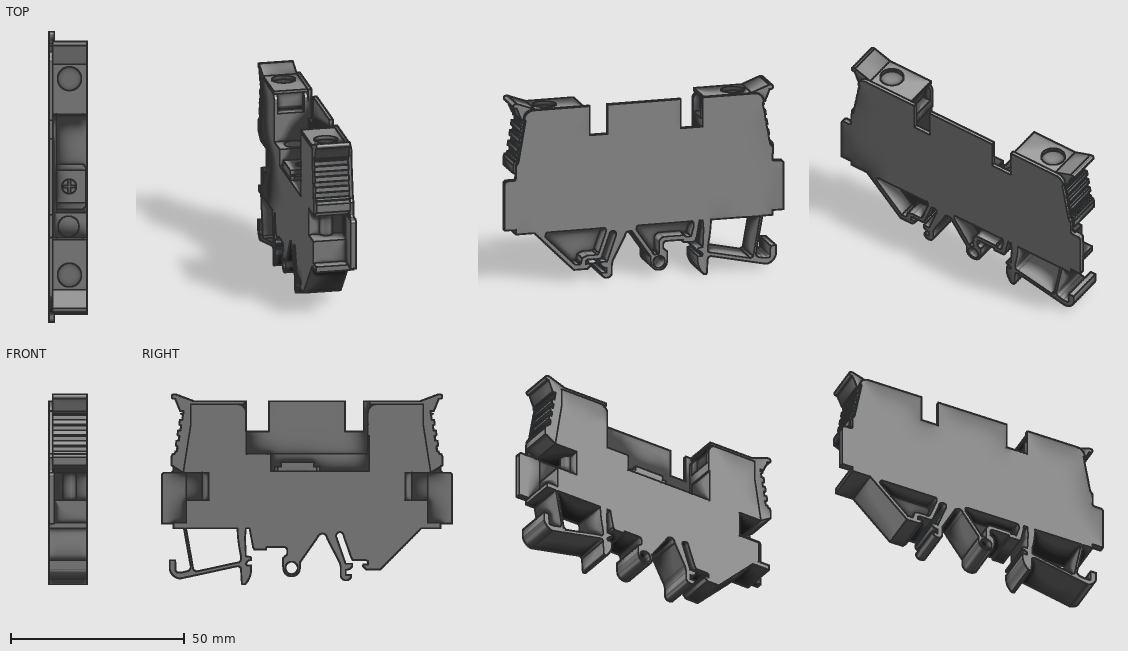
import cadquery as cq


LENGTH = 83.5
WIDTH = 11.0
TOP = 35.15
FLOOR_BOTTOM = -1.4

PLATE_T = 1.1
WING_T = 1.6
WING_TOP = 14.6
WING_ROUND = 0.8
WING_INNER_ROUND = 0.8
SHOULDER_Y = 38.4
NOTCH_BOTTOM = 26.5
NOTCHES = [(-17.5, -10.9), (10.9, 16.3)]

FLOOR_TOP = 0.2
ENTRY_Y = 34.7
ENTRY_SILL = 6.7
TERMINAL_Y = 28.2
TERMINAL_X = 5.9
LEG_INNER_BOTTOM = (35.6, WING_TOP)
LEG_INNER_TOP = (33.4, 28.5)
SHELF_Z = LEG_INNER_TOP[1]
TOWER_INNER_Y = 17.5
POST_T = 1.1
POST_TOP = 34.3
POST_ROUND = 2.5

LEDGE_Z = 20.0
PIT_FLOOR = 15.0
PIT_X = 2.1
PIT_START_Y = -10.35
PIT_STEP_Z = 25.2
PIT_STEP = 0.3

LEVER_INNER_Y = 18.0
LEVER_BAR_Y = 19.5
LEVER_BAR_ROUND = 1.5
LEVER_BEND_Y = 32.4
RIB_COUNT = 3
RIB_PITCH = 3.0
RIB_FIRST_TOP = 29.8
RIB_HEIGHT = 1.3
RIB_UNDERCUT = 0.4
RIB_DEPTH = 0.75
LEVER_FACE_SLOPE = 0.165
LEVER_FACE_Y = 35.4
LEVER_FACE_TOP = 32.3

HEAD_R = 3.4
HEAD_RECESS = 1.2
SHANK_R = 1.9

PIN_X = 5.7
PIN_Y = -14.3
PIN_R = 3.0
PIN_LENGTH = 8.35

CLAMP_X = (PIT_X, 10.6)
CLAMP_BASE_Y = (-9.3, 3.7)
CLAMP_TOP_Y = (-7.4, 1.9)
CLAMP_BASE_T = 1.25
CLAMP_T = 2.6
CLAMP_CHAMFER = 0.8
CLAMP_SCREW_X = 5.85
CLAMP_SCREW_Y = -2.75
CLAMP_SCREW_R = 2.1
CLAMP_SCREW_DEPTH = 5.0
CROSS_WIDTH = 0.8
CROSS_LENGTH = 3.25
CROSS_DEPTH = 0.7

POCKET_DEPTH = 5.1
RING_Y = -4.4
RING_Z = -12.8
RING_R = 2.4
RING_HOLE_R = 1.75


def box(x, y, z):
    """Box from its (low, high) limits along each axis."""
    size = (x[1] - x[0], y[1] - y[0], z[1] - z[0])
    return cq.Workplane().box(*size, centered=False).translate((x[0], y[0], z[0]))


def cylinder(x, y, radius, bottom, top):
    return cq.Workplane(origin=(x, y, bottom)).circle(radius).extrude(top - bottom)


def outline(x_start, x_end, start, steps):
    """Extrude a closed (y, z) outline along X; a step is a point, or the middle and end of an arc."""
    path = cq.Workplane("YZ", origin=(x_start, 0, 0)).moveTo(*start)
    for step in steps:
        if isinstance(step[0], tuple):
            path = path.threePointArc(*step)
        else:
            path = path.lineTo(*step)
    return path.close().extrude(x_end - x_start)


def both_ends(shape):
    return shape.union(shape.mirror("XZ"))


def side_plate():
    half = outline(
        0,
        PLATE_T,
        (0, TOP),
        [
            (33.4, TOP),
            ((35.1, 34.4), (35.9, 32.5)),
            (35.5, 32.3),
            (37.7, 20.0),
            (SHOULDER_Y, 18.95),
            (SHOULDER_Y, FLOOR_BOTTOM),
            (0, FLOOR_BOTTOM),
        ],
    )
    plate = both_ends(half)
    for notch in NOTCHES:
        plate = plate.cut(box((0, PLATE_T), notch, (NOTCH_BOTTOM, TOP)))
    return plate


def wing():
    wing_y = (ENTRY_Y, LENGTH / 2)
    panel = box((0, WING_T), wing_y, (0, WING_TOP)).edges("|X and >Y and >Z").fillet(WING_ROUND)
    corner = box(
        (0, PLATE_T),
        (SHOULDER_Y, SHOULDER_Y + WING_INNER_ROUND),
        (WING_TOP, WING_TOP + WING_INNER_ROUND),
    )
    hollow = (
        cq.Workplane("YZ")
        .center(SHOULDER_Y + WING_INNER_ROUND, WING_TOP + WING_INNER_ROUND)
        .circle(WING_INNER_ROUND)
        .extrude(PLATE_T)
    )
    return panel.union(corner.cut(hollow))


def tower():
    """One end of the housing: wire entry below, seat for the lever on top."""
    body = outline(
        PLATE_T,
        WIDTH,
        (TERMINAL_Y, FLOOR_BOTTOM),
        [
            (SHOULDER_Y, FLOOR_BOTTOM),
            (SHOULDER_Y, FLOOR_TOP),
            (ENTRY_Y, FLOOR_TOP),
            (ENTRY_Y, ENTRY_SILL),
            (TERMINAL_Y, ENTRY_SILL),
            (TERMINAL_Y, WING_TOP),
            LEG_INNER_BOTTOM,
            LEG_INNER_TOP,
            (LEG_INNER_TOP[0], POST_TOP),
            (TOWER_INNER_Y, POST_TOP),
            (TOWER_INNER_Y, FLOOR_BOTTOM),
        ],
    )
    body = body.edges("|X and <Y and >Z").fillet(POST_ROUND)
    channel = box(
        (PLATE_T + POST_T, WIDTH - POST_T),
        (TOWER_INNER_Y, LEG_INNER_TOP[0]),
        (SHELF_Z, POST_TOP),
    )
    shank_hole = cylinder(TERMINAL_X, TERMINAL_Y, SHANK_R, ENTRY_SILL, SHELF_Z)
    return body.cut(channel).cut(shank_hole)


def middle():
    """Block between the towers, with the clamp pit and the test pin hole."""
    block = box((PLATE_T, WIDTH), (-TOWER_INNER_Y, TOWER_INNER_Y), (FLOOR_BOTTOM, LEDGE_Z))
    pin_hole = cylinder(PIN_X, PIN_Y, PIN_R, LEDGE_Z - PIN_LENGTH, LEDGE_Z)
    return block.cut(pin_hole)


def clamp_pit():
    """Pit open towards +X that undercuts the tower wall by a small step."""
    pit = box((PIT_X, WIDTH), (PIT_START_Y, TOWER_INNER_Y), (PIT_FLOOR, LEDGE_Z))
    step = box(
        (PIT_X, WIDTH),
        (TOWER_INNER_Y, TOWER_INNER_Y + PIT_STEP),
        (PIT_FLOOR, PIT_STEP_Z),
    )
    screw_hole = cylinder(
        CLAMP_SCREW_X, CLAMP_SCREW_Y, CLAMP_SCREW_R, PIT_FLOOR - CLAMP_SCREW_DEPTH, PIT_FLOOR
    )
    return pit.union(step).union(screw_hole)


def fixed_foot():
    """Rail foot with a hooked toe, a sprung claw and a ring-ended leg."""
    foot = outline(
        0,
        WIDTH,
        (32.8, FLOOR_BOTTOM),
        [
            (21.05, -13.3),
            (17.0, -13.3),
            (16.0, -12.3),
            (16.2, -11.8),
            (17.5, -11.8),
            (17.5, -10.85),
            (16.8, -10.5),
            (13.1, -10.5),
            (12.7, -9.8),
            (10.5, -3.6),
            ((9.4, -2.5), (8.4, -3.8)),
            (11.1, -11.5),
            (13.0, -11.5),
            (13.0, -12.35),
            ((12.2, -13.1), (11.2, -13.4)),
            (11.2, -14.8),
            (12.8, -14.8),
            ((11.3, -16.4), (9.7, -15.0)),
            (9.7, -12.8),
            ((9.5, -11.7), (9.1, -10.7)),
            (5.8, -4.3),
            ((4.4, -2.9), (3.1, -3.9)),
            (-2.0, -11.2),
            (RING_Y + RING_R, RING_Z),
            ((RING_Y, RING_Z - RING_R), (RING_Y - RING_R, RING_Z)),
            (-6.9, -12.1),
            (-6.9, -9.9),
            (-5.8, -8.9),
            (-5.7, -7.7),
            ((-5.9, -7.1), (-6.6, -6.8)),
            (-11.6, -6.8),
            (-11.8, -7.5),
            (-15.1, -7.5),
            (-15.5, -6.8),
            (-16.5, FLOOR_BOTTOM),
        ],
    )
    ring_hole = cq.Workplane("YZ").center(RING_Y, RING_Z).circle(RING_HOLE_R).extrude(WIDTH)
    return foot.cut(ring_hole).cut(toe_pocket()).cut(leg_pocket())


def toe_pocket():
    return outline(
        0,
        POCKET_DEPTH,
        (28.9, FLOOR_BOTTOM),
        [
            ((29.6, -2.1), (29.4, -3.0)),
            (20.6, -11.8),
            (19.3, -11.8),
            (18.95, -11.35),
            (18.6, -9.9),
            ((17.8, -9.5), (16.8, -9.3)),
            (14.1, -9.3),
            (13.6, -8.8),
            (11.5, -2.75),
            ((11.4, -2.0), (11.85, FLOOR_BOTTOM)),
        ],
    )


def leg_pocket():
    return outline(
        0,
        POCKET_DEPTH,
        (1.8, FLOOR_BOTTOM),
        [
            ((2.3, -2.2), (2.2, -3.0)),
            (-3.0, -10.5),
            (-4.3, -10.5),
            (-4.4, -10.2),
            (-4.4, -7.0),
            ((-4.9, -5.9), (-5.85, -5.4)),
            (-12.1, -5.4),
            (-12.5, -5.9),
            (-14.0, -5.9),
            (-14.7, -3.5),
            ((-14.8, -2.1), (-14.4, FLOOR_BOTTOM)),
        ],
    )


def release_foot():
    """Sprung rail foot with a beak, carrying a release arm with a finger hook and a tie strut."""
    foot = outline(
        0,
        WIDTH,
        (-17.5, FLOOR_BOTTOM),
        [
            (-17.8, -4.2),
            (-17.5, -9.4),
            (-16.6, -9.5),
            ((-16.0, -9.9), (-16.0, -10.5)),
            ((-17.0, -10.85), (-17.5, -11.7)),
            (-17.2, -12.0),
            (-16.0, -12.0),
            (-16.0, -13.6),
            ((-16.6, -15.8), (-17.9, -17.5)),
            (-18.6, -17.5),
            (-18.8, -16.95),
            (-19.0, -12.95),
            ((-19.45, -12.4), (-20.3, -12.35)),
            (-36.5, -15.9),
            ((-38.5, -14.95), (-39.5, -13.1)),
            (-39.5, -10.5),
            (-37.8, -10.5),
            (-37.75, -13.4),
            ((-37.6, -13.9), (-37.1, -14.0)),
            (-35.8, -14.0),
            (-34.5, -13.7),
            ((-33.7, -13.3), (-33.5, -12.2)),
            (-35.4, FLOOR_BOTTOM),
        ],
    )
    window = outline(
        0,
        WIDTH,
        (-20.0, FLOOR_BOTTOM),
        [
            ((-19.7, -5.4), (-19.0, -9.3)),
            (-19.0, -10.3),
            ((-19.2, -10.85), (-19.95, -11.2)),
            (-31.8, -13.8),
            (-32.65, -13.3),
            (-34.7, FLOOR_BOTTOM),
        ],
    )
    return foot.cut(window)


def make_housing():
    towers_and_wings = both_ends(tower().union(wing()))
    body = side_plate().union(towers_and_wings).union(middle()).cut(clamp_pit())
    return body.union(fixed_foot()).union(release_foot())


def lever_face_y(z):
    """Sloping outer face of the lever between its grip ribs."""
    return LEVER_FACE_Y + LEVER_FACE_SLOPE * (LEVER_FACE_TOP - z)


def grip_ribs():
    """Outline points of the grip ribs, from the top one down."""
    points = []
    for i in range(RIB_COUNT):
        top = RIB_FIRST_TOP - i * RIB_PITCH
        bottom = top - RIB_HEIGHT
        root = bottom - RIB_UNDERCUT
        points += [
            (lever_face_y(top), top),
            (lever_face_y(top) + RIB_DEPTH, top),
            (lever_face_y(bottom) + RIB_DEPTH, bottom),
            (lever_face_y(root), root),
        ]
    return points


def make_lever():
    """Lever on the +Y tower: a bar in the channel, a top plate, a finger tip and a ribbed leg."""
    shell = outline(
        PLATE_T,
        WIDTH,
        (LEVER_INNER_Y, TOP),
        [
            (LEVER_BEND_Y, TOP),
            (37.75, 37.15),
            (38.25, 37.15),
            ((38.9, 36.5), (38.25, 35.8)),
            (37.9, 35.8),
            (36.5, LEVER_FACE_TOP),
            (LEVER_FACE_Y, LEVER_FACE_TOP),
            (LEVER_FACE_Y, 31.7),
            (36.2, 31.6),
            (lever_face_y(31.1), 31.1),
            *grip_ribs(),
            (lever_face_y(20.7), 20.7),
            (37.8, 20.7),
            (38.1, 20.0),
            (38.7, 19.95),
            (39.0, 19.0),
            (39.0, 16.7),
            (38.3, 16.4),
            LEG_INNER_BOTTOM,
            LEG_INNER_TOP,
            (LEG_INNER_TOP[0], POST_TOP),
            (LEVER_INNER_Y, POST_TOP),
        ],
    )
    bar = box(
        (PLATE_T + POST_T, WIDTH - POST_T),
        (LEVER_BAR_Y, LEG_INNER_TOP[0]),
        (SHELF_Z, POST_TOP),
    )
    bar = bar.edges("|X and <Y and <Z").fillet(LEVER_BAR_ROUND)
    head_hole = cylinder(TERMINAL_X, TERMINAL_Y, HEAD_R, SHELF_Z, TOP)
    return shell.union(bar).cut(head_hole)


def make_terminal_screw():
    """Screw of the +Y terminal: head inside the lever, shank down to the entry sill."""
    shank = cylinder(TERMINAL_X, TERMINAL_Y, SHANK_R, ENTRY_SILL, SHELF_Z)
    head = cylinder(TERMINAL_X, TERMINAL_Y, HEAD_R, SHELF_Z, TOP - HEAD_RECESS)
    return shank.union(head)


def make_test_pin():
    return cylinder(PIN_X, PIN_Y, PIN_R, LEDGE_Z - PIN_LENGTH, LEDGE_Z)


def make_clamp():
    base = box(CLAMP_X, CLAMP_BASE_Y, (PIT_FLOOR, PIT_FLOOR + CLAMP_BASE_T))
    base = base.edges("|Z and >X").chamfer(CLAMP_CHAMFER)
    raised = box(CLAMP_X, CLAMP_TOP_Y, (PIT_FLOOR, PIT_FLOOR + CLAMP_T))
    hole = cylinder(CLAMP_SCREW_X, CLAMP_SCREW_Y, CLAMP_SCREW_R, PIT_FLOOR, PIT_FLOOR + CLAMP_T)
    return base.union(raised).cut(hole)


def make_clamp_screw():
    """Headless screw, flush with the clamp, with a cross slot."""
    top = PIT_FLOOR + CLAMP_T
    screw = cylinder(
        CLAMP_SCREW_X, CLAMP_SCREW_Y, CLAMP_SCREW_R, PIT_FLOOR - CLAMP_SCREW_DEPTH, top
    )
    slot_floor = cq.Workplane(origin=(CLAMP_SCREW_X, CLAMP_SCREW_Y, top - CROSS_DEPTH))
    short_slot = slot_floor.rect(CROSS_LENGTH, CROSS_WIDTH).extrude(CROSS_DEPTH)
    long_slot = slot_floor.rect(CROSS_WIDTH, 2 * CLAMP_SCREW_R).extrude(CROSS_DEPTH)
    return screw.cut(short_slot).cut(long_slot)


housing = make_housing()
levers = []
terminal_screws = []
for on_far_end in (True, False):
    lever = make_lever()
    terminal_screw = make_terminal_screw()
    if not on_far_end:
        lever = lever.mirror("XZ")
        terminal_screw = terminal_screw.mirror("XZ")
    levers.append(lever.solids().val())
    terminal_screws.append(terminal_screw.solids().val())
test_pin = make_test_pin()
clamp = make_clamp()
clamp_screw = make_clamp_screw()

result = cq.Compound.makeCompound(
    [
        housing.solids().val(),
        *levers,
        *terminal_screws,
        test_pin.solids().val(),
        clamp.solids().val(),
        clamp_screw.solids().val(),
    ]
)